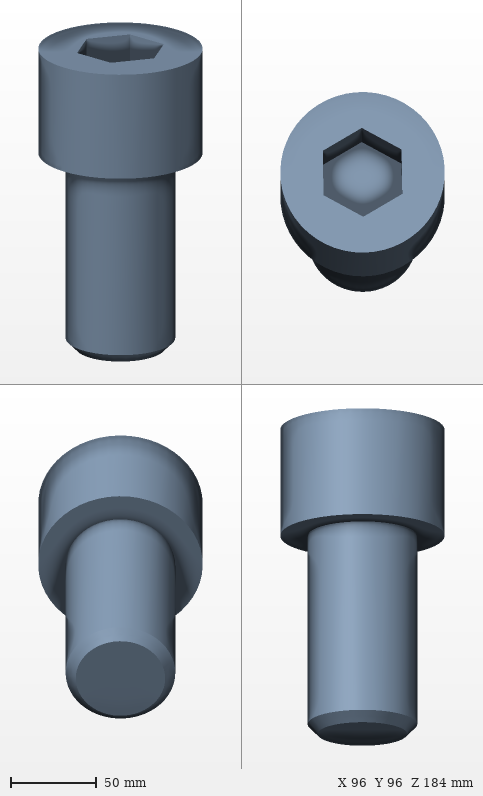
import cadquery as cq
import math

total_length = 184.0
shank_diameter = 64.0
head_diameter = 96.0
head_height = shank_diameter
hex_across_flats = 46.0
socket_depth = 38.0
tip_chamfer = 5.9
neck_diameter = 63.7
neck_height = 1.1

shank_length = total_length - head_height - neck_height
hex_across_corners = hex_across_flats / math.cos(math.radians(30))

shank = (
    cq.Workplane("XY")
    .workplane(offset=head_height - total_length)
    .circle(shank_diameter / 2)
    .extrude(shank_length)
    .faces("<Z")
    .edges()
    .chamfer(tip_chamfer)
)

head = cq.Workplane("XY").circle(head_diameter / 2).extrude(head_height)

neck = cq.Workplane("XY").circle(neck_diameter / 2).extrude(-neck_height)

socket = (
    cq.Workplane("XY")
    .workplane(offset=head_height - socket_depth)
    .polygon(6, hex_across_corners)
    .extrude(socket_depth)
)

result = head.union(neck).union(shank).cut(socket)